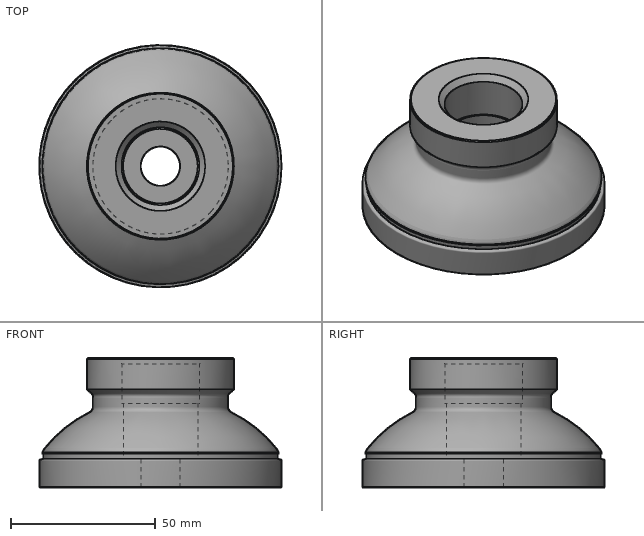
import cadquery as cq
import math

pad_radius = 84.05 / 2
pad_height = 10.0
pad_rim_z = 9.75
pad_rim_round = 0.5
pad_chamfer = 0.25
through_hole_radius = 13.5 / 2

top_z = 45.0
head_bottom_z = 34.0
undercut_end_z = 32.5
neck_top_z = 31.3
neck_bottom_z = 27.9
flank_top_z = 26.1
flank_bottom_z = 13.7
shoulder_z = 12.95
bead_top_z = 12.2
bead_bottom_z = 11.7

head_radius = 51.0 / 2
head_chamfer = 0.4
undercut_end_radius = 23.9
neck_radius = 47.0 / 2
flank_top_radius = 24.55
flank_bottom_radius = 40.1
shoulder_radius = 40.6
bead_radius = 40.9
skirt_radius = 40.7
flank_bulge = 1.1

bore_radius = 27.0 / 2
lower_bore_radius = 25.8 / 2
bore_step_z = 29.2
bore_chamfer = 2.0


def make_pad():
    """Base disc with a through hole, a rounded upper rim and a chamfered lower rim."""
    return (
        cq.Workplane("XZ")
        .moveTo(through_hole_radius, 0)
        .lineTo(pad_radius - pad_chamfer, 0)
        .lineTo(pad_radius, pad_chamfer)
        .lineTo(pad_radius, pad_rim_z - pad_rim_round)
        .tangentArcPoint((pad_radius - pad_rim_round, pad_rim_z), relative=False)
        .lineTo(skirt_radius, pad_height)
        .lineTo(through_hole_radius, pad_height)
        .close()
        .revolve(360, (0, 0, 0), (0, 1, 0))
    )


def flank_middle():
    """Point on the convex flank, offset outward from the middle of its chord."""
    run = flank_bottom_radius - flank_top_radius
    drop = flank_top_z - flank_bottom_z
    chord = math.hypot(run, drop)
    middle_radius = (flank_top_radius + flank_bottom_radius) / 2
    middle_z = (flank_top_z + flank_bottom_z) / 2
    return (middle_radius + flank_bulge * drop / chord, middle_z + flank_bulge * run / chord)


def make_bell():
    """Turned bell with a wide head, a neck and a stepped bore, standing on the pad."""
    return (
        cq.Workplane("XZ")
        .moveTo(lower_bore_radius, pad_height)
        .lineTo(lower_bore_radius, bore_step_z)
        .lineTo(bore_radius, bore_step_z)
        .lineTo(bore_radius, top_z - bore_chamfer)
        .lineTo(bore_radius + bore_chamfer, top_z)
        .lineTo(head_radius - head_chamfer, top_z)
        .lineTo(head_radius, top_z - head_chamfer)
        .lineTo(head_radius, head_bottom_z)
        .lineTo(undercut_end_radius, undercut_end_z)
        .tangentArcPoint((neck_radius, neck_top_z), relative=False)
        .lineTo(neck_radius, neck_bottom_z)
        .tangentArcPoint((flank_top_radius, flank_top_z), relative=False)
        .threePointArc(flank_middle(), (flank_bottom_radius, flank_bottom_z))
        .lineTo(shoulder_radius, shoulder_z)
        .lineTo(bead_radius, bead_top_z)
        .lineTo(bead_radius, bead_bottom_z)
        .lineTo(skirt_radius, bead_bottom_z)
        .lineTo(skirt_radius, pad_height)
        .close()
        .revolve(360, (0, 0, 0), (0, 1, 0))
    )


pad = make_pad()
bell = make_bell()

result = cq.Compound.makeCompound([pad.val(), bell.val()])